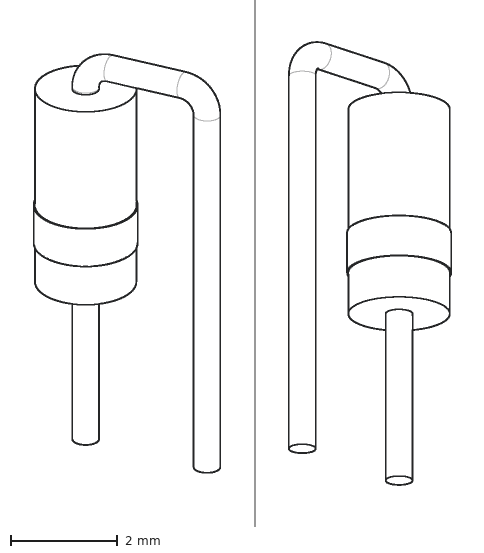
import cadquery as cq

overall_height = 8.17
wire_diameter = 0.51
lead_pitch = 2.54
bend_radius = wire_diameter

body_diameter = 1.9
body_bottom = 3.31
body_top = 7.37

band_diameter = 1.95
band_bottom = 4.125
band_height = 0.79


def upright_cylinder(diameter, bottom, height):
    """Cylinder on the body axis, starting at the given height."""
    return cq.Workplane("XY").workplane(offset=bottom).circle(diameter / 2).extrude(height)


def bent_lead():
    """Wire from the body top, over two quarter bends, down to the base plane."""
    crest = overall_height - wire_diameter / 2
    bend_start = crest - bend_radius
    wire_start = body_top - wire_diameter / 2

    path = (
        cq.Workplane("XZ")
        .moveTo(0, wire_start)
        .lineTo(0, bend_start)
        .radiusArc((bend_radius, crest), bend_radius)
        .lineTo(lead_pitch - bend_radius, crest)
        .radiusArc((lead_pitch, bend_start), bend_radius)
        .lineTo(lead_pitch, 0)
    )
    section = cq.Workplane("XY").workplane(offset=wire_start).circle(wire_diameter / 2)
    return section.sweep(path)


body = upright_cylinder(body_diameter, body_bottom, body_top - body_bottom)
band = upright_cylinder(band_diameter, band_bottom, band_height)
straight_lead = upright_cylinder(wire_diameter, 0, body_bottom)

result = body.union(band).union(straight_lead).union(bent_lead())